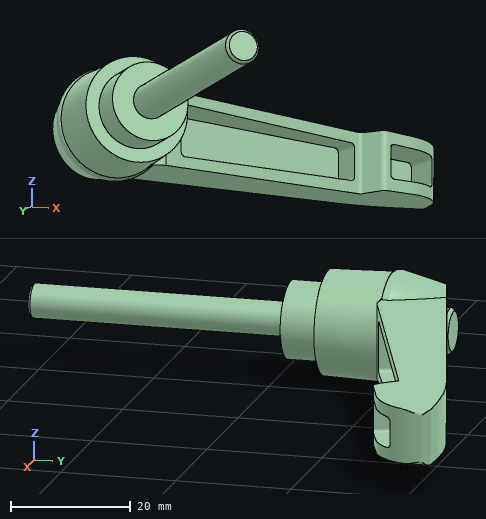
import cadquery as cq
import math


pin_radius = 3.0
pin_length = 45.0
pin_chamfer = 0.5
boss_radius = 13.5 / 2
boss_height = 6.5
skirt_bottom_radius = 9.1
skirt_top_radius = 9.45
rim_bottom_y = 17.5
rim_fillet_radius = 0.7
cone_start_y = 19.0
rim_radius = 19.49 / 2
cone_angle = 14.0
screw_radius = 4.0
screw_top_y = 28.3
screw_chamfer = 0.6

end_x = 65.0
top_y = 41.55
top_angle = 15.0
hub_top_y = 27.15
top_bend_start_x = 43.2
top_bend_end_x = 59.0
end_top_radius = 1.3
underside_angle = 20.0
underside_start_x = 9.3
notch_x = 49.6
notch_wall_angle = 53.0
notch_inner_radius = 0.75
notch_outer_radius = 1.1
nose_arc_start_x = 58.2
nose_arc_start_y = 30.5
hub_half_width = 6.9
end_half_width = 4.77
end_corner_radius = 0.8

pocket_floor_offset = 3.4
pocket_corner_radius = 0.8
pocket_hub_half_width = 5.0
pocket_taper = 0.037
arm_pocket_start_x = 12.45
arm_pocket_end_x = 48.3
nose_pocket_start_x = 53.75
nose_pocket_end_x = 63.15

top_slope = math.tan(math.radians(top_angle))
underside_slope = math.tan(math.radians(underside_angle))
notch_slope = math.tan(math.radians(notch_wall_angle))
nose_sin = math.sin(math.radians(underside_angle))
nose_cos = math.cos(math.radians(underside_angle))

nose_radius = (end_x - nose_arc_start_x) / (1 - nose_sin)
nose_center_x = end_x - nose_radius
nose_center_y = nose_arc_start_y + nose_radius * nose_cos


def top_line_y(x):
    """Height of the straight sloping top face."""
    return hub_top_y + x * top_slope


def underside_y(x):
    """Height of the straight sloping underside between hub and notch."""
    return rim_bottom_y + (x - underside_start_x) * underside_slope


def nose_arc_y(x):
    """Height of the rounded nose underside."""
    return nose_center_y - math.sqrt(nose_radius**2 - (x - nose_center_x) ** 2)


def nose_flat_y(x):
    """Height of the straight underside of the nose."""
    return nose_arc_start_y + (x - nose_arc_start_x) * underside_slope


def make_hub():
    """Rim and cone turned about Y and cut off by the sloping top face, with the skirt below."""
    rim_fillet_top_y = rim_bottom_y + rim_fillet_radius
    cone_top_y = top_line_y(rim_radius)
    cone_top_radius = rim_radius - (cone_top_y - cone_start_y) * math.tan(math.radians(cone_angle))
    skirt = (
        cq.Workplane("XY")
        .moveTo(0, boss_height)
        .lineTo(skirt_bottom_radius, boss_height)
        .lineTo(skirt_top_radius, rim_fillet_top_y)
        .lineTo(0, rim_fillet_top_y)
        .close()
        .revolve(360, (0, 0), (0, 1))
    )
    cone = (
        cq.Workplane("XY")
        .moveTo(0, rim_bottom_y)
        .lineTo(rim_radius - rim_fillet_radius, rim_bottom_y)
        .tangentArcPoint((rim_radius, rim_fillet_top_y), relative=False)
        .lineTo(rim_radius, cone_start_y)
        .lineTo(cone_top_radius, cone_top_y)
        .lineTo(0, cone_top_y)
        .close()
        .revolve(360, (0, 0), (0, 1))
    )
    keep_below = (
        cq.Workplane("XY")
        .moveTo(-rim_radius, 0)
        .lineTo(rim_radius, 0)
        .lineTo(rim_radius, top_line_y(rim_radius))
        .lineTo(-rim_radius, top_line_y(-rim_radius))
        .close()
        .extrude(rim_radius, both=True)
    )
    return cone.intersect(keep_below).union(skirt)


def make_cylinder(radius, start_y, stop_y):
    """Cylinder about the Y axis between two heights."""
    return cq.Workplane("XZ", origin=(0, stop_y, 0)).circle(radius).extrude(stop_y - start_y)


def make_shaft():
    """Plain pin, boss and screw head."""
    pin = make_cylinder(pin_radius, -pin_length, boss_height).faces("<Y").chamfer(pin_chamfer)
    boss = make_cylinder(boss_radius, 0, rim_bottom_y)
    screw = make_cylinder(screw_radius, rim_bottom_y, screw_top_y).faces(">Y").chamfer(screw_chamfer)
    return pin.union(boss).union(screw)


def make_arm():
    """Lever profile in XY, trimmed to a width that tapers towards the rounded tip."""
    notch_y = underside_y(notch_x)
    notch_run = (notch_y - nose_flat_y(notch_x)) / (notch_slope + underside_slope)
    hook_x = notch_x + notch_run
    arc_mid_angle = math.radians((underside_angle - 90) / 2)
    arc_middle = (
        nose_center_x + nose_radius * math.cos(arc_mid_angle),
        nose_center_y + nose_radius * math.sin(arc_mid_angle),
    )
    profile = (
        cq.Workplane("XY", origin=(0, 0, -hub_half_width))
        .moveTo(0, hub_top_y)
        .lineTo(top_bend_start_x, top_line_y(top_bend_start_x))
        .spline([(top_bend_end_x, top_y)], tangents=[(1, top_slope), (1, 0)], includeCurrent=True)
        .lineTo(end_x, top_y)
        .lineTo(end_x, nose_center_y)
        .threePointArc(arc_middle, (nose_arc_start_x, nose_arc_start_y))
        .lineTo(hook_x, nose_flat_y(hook_x))
        .lineTo(notch_x, notch_y)
        .lineTo(underside_start_x, rim_bottom_y)
        .lineTo(0, rim_bottom_y)
        .close()
        .extrude(2 * hub_half_width)
    )
    rounded_edges = [
        (notch_x, notch_y, notch_inner_radius),
        (hook_x, nose_flat_y(hook_x), notch_outer_radius),
        (end_x, top_y, end_top_radius),
    ]
    for x, y, radius in rounded_edges:
        profile = profile.edges(cq.selectors.NearestToPointSelector((x, y, 0))).fillet(radius)
    taper = (
        cq.Workplane("XZ")
        .polyline(
            [
                (0, -hub_half_width),
                (end_x, -end_half_width),
                (end_x, end_half_width),
                (0, hub_half_width),
            ]
        )
        .close()
        .extrude(-top_y)
        .edges("|Y and >X")
        .fillet(end_corner_radius)
    )
    return profile.intersect(taper)


def make_pocket(start_x, start_y, stop_x, stop_y):
    """Pocket cutter from below the arm to the floor, with its mouth between the two given points."""
    sine = math.sin(math.radians(top_angle))
    cosine = math.cos(math.radians(top_angle))
    floor_origin = (
        pocket_floor_offset * sine,
        hub_top_y - pocket_floor_offset * cosine,
        0,
    )
    floor = cq.Plane(origin=floor_origin, xDir=(cosine, sine, 0), normal=(sine, -cosine, 0))

    def along_floor(x, y):
        return (x - floor_origin[0]) * cosine + (y - floor_origin[1]) * sine

    start = along_floor(start_x, start_y)
    stop = along_floor(stop_x, stop_y)
    start_half = pocket_hub_half_width - pocket_taper * start_x
    stop_half = pocket_hub_half_width - pocket_taper * stop_x
    return (
        cq.Workplane(floor)
        .polyline([(start, -start_half), (stop, -stop_half), (stop, stop_half), (start, start_half)])
        .close()
        .extrude(top_y)
        .edges(cq.selectors.ParallelDirSelector(floor.zDir))
        .fillet(pocket_corner_radius)
    )


arm_pocket = make_pocket(
    arm_pocket_start_x,
    underside_y(arm_pocket_start_x),
    arm_pocket_end_x,
    underside_y(arm_pocket_end_x),
)
nose_pocket = make_pocket(
    nose_pocket_start_x,
    nose_flat_y(nose_pocket_start_x),
    nose_pocket_end_x,
    nose_arc_y(nose_pocket_end_x),
)

arm = make_arm().cut(arm_pocket).cut(nose_pocket)
result = make_hub().union(arm).union(make_shaft())